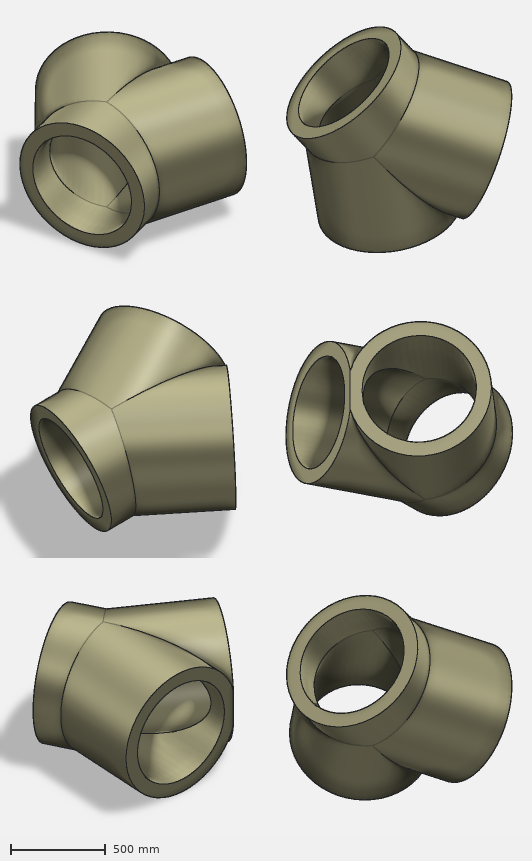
import cadquery as cq
import math

outer_diameter = 763.0
bore_diameter = 604.0
overall_width = 1292.0
overall_depth = 987.0
branch_angle = 30.0

outer_radius = outer_diameter / 2
tilt = math.radians(branch_angle)
branch_length = (overall_width / 2 - outer_radius * math.cos(tilt)) / math.sin(tilt)
inlet_length = overall_depth - branch_length / math.cos(tilt)

mitre_slope = math.tan(tilt / 2)
reach = 2 * overall_width
pipe_overlap = outer_diameter


def pipe(direction, length, trim_outline):
    """Hollow pipe ending square at the given length, trimmed to its mitre wedge."""
    start = direction * -pipe_overlap
    tube = (
        cq.Workplane(cq.Plane(origin=start.toTuple(), xDir=(0, 0, 1), normal=direction.toTuple()))
        .circle(outer_radius)
        .circle(bore_diameter / 2)
        .extrude(pipe_overlap + length)
    )
    wedge = cq.Workplane("XY").polyline(trim_outline).close().extrude(outer_diameter, both=True)
    return tube.intersect(wedge)


def branch(side):
    """Angled branch on the +X (side = 1) or -X (side = -1) half."""
    direction = cq.Vector(side * math.sin(tilt), math.cos(tilt), 0)
    outline = [
        (0, 0),
        (side * reach, -reach * mitre_slope),
        (side * reach, reach),
        (0, reach),
    ]
    return pipe(direction, branch_length, outline)


inlet_outline = [
    (0, 0),
    (reach, -reach * mitre_slope),
    (reach, -reach),
    (-reach, -reach),
    (-reach, -reach * mitre_slope),
]
result = pipe(cq.Vector(0, -1, 0), inlet_length, inlet_outline)
for side in (-1, 1):
    result = result.union(branch(side))